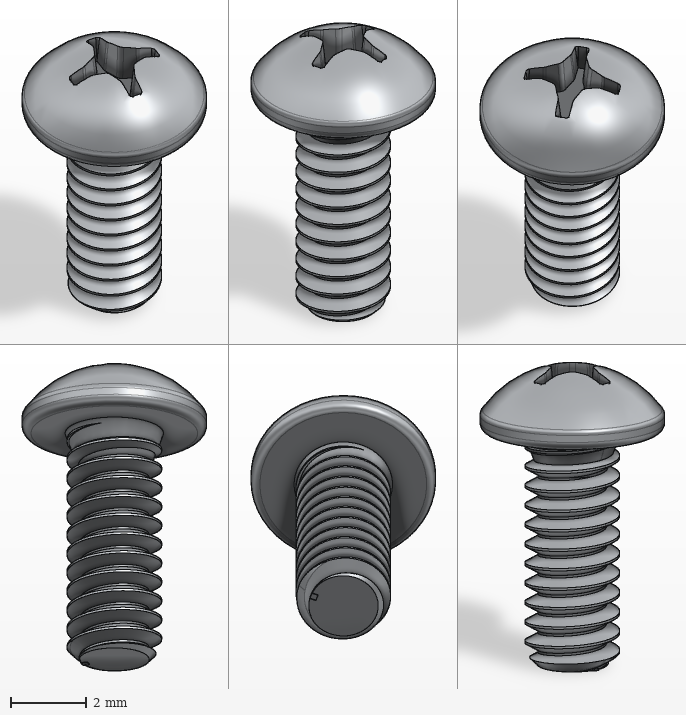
import cadquery as cq
import math

screw_length = 6.35
head_radius = 2.45
head_height = 1.785
dome_edge_radius = 2.385
dome_edge_height = 0.57
rim_top_height = 0.43
rim_low_rounding = 0.24

major_radius = 2.515 / 2
pitch = 25.4 / 48
flank_angle = math.radians(30)
flat_width = pitch / 8
sharp_depth = pitch / (2 * math.tan(flank_angle))
thread_depth = 0.75 * sharp_depth
root_radius = major_radius - thread_depth
crest_height = -1.163
groove_overshoot = 0.04
thread_top = 0.5
tip_radius = 0.925

neck_radius = 1.305
neck_angle = math.radians(20)
neck_end_radius = 0.85
neck_length = (neck_radius - neck_end_radius) / math.tan(neck_angle)

recess_floor_height = 0.72
recess_top_height = 2.0
recess_taper = 5.5
arm_length = 1.205
arm_half_width = 0.11
flare_start = 0.78
flare_angle = math.radians(22.5)
flare_rounding = 0.2
corner_rounding = 0.22

burr_depth = 0.025
burr_width = 0.17
burr_length = 0.17


def make_head():
    """Head and neck, revolved about Z from a section on the -Y side."""
    rise = head_height - dome_edge_height
    dome_radius = (dome_edge_radius**2 + rise**2) / (2 * rise)
    dome_center = head_height - dome_radius
    half_angle = math.asin(dome_edge_radius / dome_radius) / 2
    dome_middle = (
        -dome_radius * math.sin(half_angle),
        dome_center + dome_radius * math.cos(half_angle),
    )
    return (
        cq.Workplane("YZ")
        .moveTo(0, -neck_length)
        .lineTo(-neck_end_radius, -neck_length)
        .lineTo(-neck_radius, 0)
        .lineTo(-head_radius + rim_low_rounding, 0)
        .radiusArc((-head_radius, rim_low_rounding), rim_low_rounding)
        .lineTo(-head_radius, rim_top_height)
        .tangentArcPoint((-dome_edge_radius, dome_edge_height), relative=False)
        .threePointArc(dome_middle, (0, head_height))
        .close()
        .revolve(360, (0, 0, 0), (0, 1, 0))
    )


def make_shank():
    """Chamfered blank with a helical groove cut into it, reaching up into the head."""
    blank = (
        cq.Workplane("YZ")
        .polyline([
            (0, -screw_length),
            (-tip_radius, -screw_length),
            (-major_radius, -screw_length + major_radius - tip_radius),
            (-major_radius, thread_top),
            (0, thread_top),
        ])
        .close()
        .revolve(360, (0, 0, 0), (0, 1, 0))
    )

    top_crest = crest_height + pitch * math.ceil((flat_width - crest_height) / pitch)
    groove_end = top_crest - pitch / 2
    turns = math.ceil((screw_length + top_crest) / pitch) + 1
    helix = cq.Wire.makeHelix(pitch, turns * pitch, root_radius)

    outer_radius = major_radius + groove_overshoot
    root_half = flat_width / 2
    outer_half = root_half + (outer_radius - root_radius) * math.tan(flank_angle)
    groove = (
        cq.Workplane("XZ")
        .polyline([
            (root_radius, -root_half),
            (outer_radius, -outer_half),
            (outer_radius, outer_half),
            (root_radius, root_half),
        ])
        .close()
        .sweep(cq.Workplane(helix), isFrenet=True)
        .translate((0, 0, groove_end - turns * pitch))
    )
    return blank.cut(groove)


def make_recess():
    """Cross-shaped cutter, narrowing downwards."""
    slope = math.tan(flare_angle)
    corner = (arm_half_width + flare_start * slope) / (1 + slope)
    quarter_outline = [
        (arm_length, arm_half_width),
        (flare_start, arm_half_width),
        (corner, corner),
        (arm_half_width, flare_start),
        (arm_half_width, arm_length),
    ]
    outline = []
    for _ in range(4):
        outline += quarter_outline
        quarter_outline = [(-y, x) for x, y in quarter_outline]
    depth = recess_top_height - recess_floor_height
    cutter = (
        cq.Workplane("XY", origin=(0, 0, recess_floor_height))
        .polyline(outline)
        .close()
        .extrude(depth, taper=-recess_taper)
    )

    def upright_edges(inner, outer):
        """Picks the wall edges whose middle lies between two distances from the axis."""
        def is_picked(edge):
            center = edge.Center()
            rises = edge.BoundingBox().zlen > depth / 2
            return rises and inner < math.hypot(center.x, center.y) < outer
        return is_picked

    corner_limit = (corner * math.sqrt(2) + flare_start) / 2
    flare_limit = (flare_start + arm_length) / 2
    cutter = cutter.edges().filter(upright_edges(0, corner_limit)).fillet(corner_rounding)
    return cutter.edges().filter(upright_edges(corner_limit, flare_limit)).fillet(flare_rounding)


def make_burr():
    """Small block standing out of the tip face at the -Y edge of the core."""
    return (
        cq.Workplane("XY", origin=(0, 0, -screw_length - burr_depth))
        .center(0, -root_radius + burr_length / 2)
        .rect(burr_width, burr_length)
        .extrude(2 * burr_depth)
    )


head = make_head().cut(make_recess())
result = head.union(make_shank()).union(make_burr())